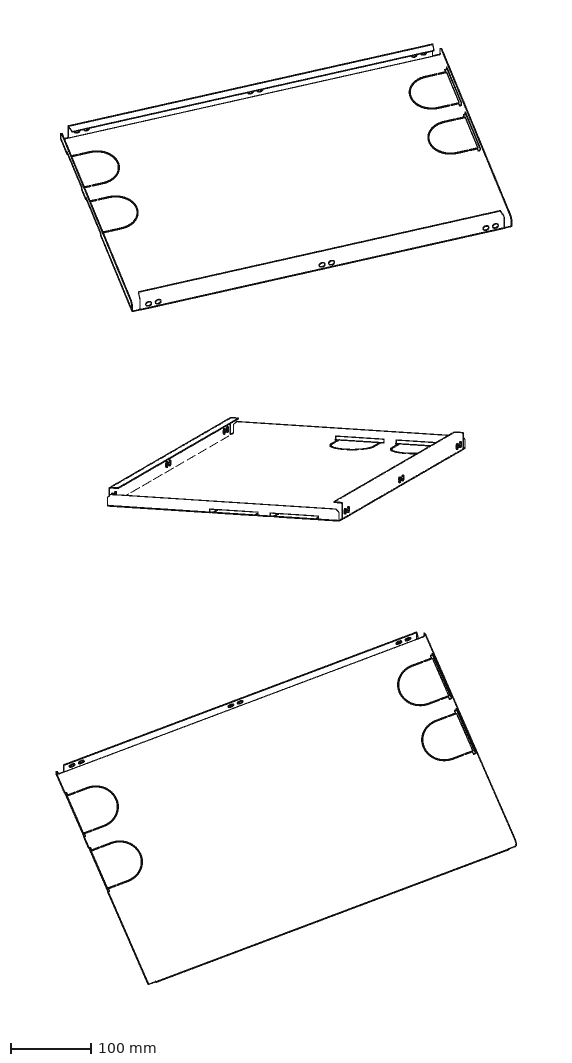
import cadquery as cq

length = 494.0
width = 306.5
height = 22.0
sheet = 1.0
inner_bend = 1.0
outer_bend = inner_bend + sheet

side_setback = 10.5
lip_width = 12.0
lip_taper = 1.5

flange_height = 15.5
end_inset = 1.5
flange_corner = 4.0

hole_diameter = 7.5
hole_height = 9.0
hole_pitch = 12.5
outer_hole_y = 225.5
hole_ys = (
    -outer_hole_y,
    hole_pitch - outer_hole_y,
    0,
    hole_pitch,
    outer_hole_y - hole_pitch,
    outer_hole_y,
)

knockout_xs = (-93.5, -14.0)
slit = 1.0
flap_width = 54.0
flap_depth = 56.5
tab_width = 2.0
tab_distance = 14.0
window_width = 63.0
window_height = 5.0
window_depth = 3.0
flap_end_gap = 2.0

wall_length = length - 2 * side_setback
inner_width = width - 2 * sheet
end_width = width - 2 * end_inset
end_y = -length / 2


def block(x_size, y_size, z_size, x=0, y=0, z=0):
    """Box centred on x and y, with its bottom at z."""
    box = cq.Workplane("XY").box(x_size, y_size, z_size, centered=(True, True, False))
    return box.translate((x, y, z))


def side_channel():
    """Floor with both side walls and their inward lips, all folded along Y."""
    outside = block(width, wall_length, height).edges("|Y").fillet(outer_bend)
    inside = block(inner_width, wall_length, height - 2 * sheet, z=sheet).edges("|Y").fillet(inner_bend)
    opening = block(width - 2 * lip_width, wall_length, height, z=sheet)
    return outside.cut(inside).cut(opening)


def lip_end_trim(side, end):
    """Wedge that tapers one end of a lip; side and end are -1 or 1."""
    root_x = side * (width / 2 - outer_bend)
    tip_x = side * (width / 2 - lip_width)
    root_y = end * wall_length / 2
    return (
        cq.Workplane("XY")
        .workplane(offset=height - sheet)
        .polyline([(root_x, root_y), (tip_x, root_y), (tip_x, root_y - end * lip_taper)])
        .close()
        .extrude(sheet)
    )


def end_channel():
    """Floor with both end flanges, folded along X and bevelled at the top corners."""
    outside = block(end_width, length, flange_height)
    outside = outside.edges("|X and <Z").fillet(outer_bend).edges("|Y and >Z").chamfer(flange_corner)
    inside = block(end_width, length - 2 * sheet, flange_height, z=sheet)
    return outside.cut(inside.edges("|X and <Z").fillet(inner_bend))


def tongue(tongue_width, depth, x):
    """Round-nosed slab as thick as the floor, reaching in from the -Y end."""
    radius = tongue_width / 2
    nose_y = end_y + depth - radius
    return (
        cq.Workplane("XY")
        .moveTo(x - radius, end_y)
        .lineTo(x - radius, nose_y)
        .threePointArc((x, nose_y + radius), (x + radius, nose_y))
        .lineTo(x + radius, end_y)
        .close()
        .extrude(sheet)
    )


def knockout_cut(x):
    """Slit around one flap, bridged by two tabs, and the window in the -Y flange bend."""
    slit_width = flap_width + 2 * slit
    flap = tongue(flap_width, flap_depth, x)
    slot = tongue(slit_width, flap_depth + slit, x).cut(flap)
    tabs = block(slit_width, tab_width, sheet, x, end_y + tab_distance)
    window = block(window_width, window_depth, window_height, x, end_y + window_depth / 2)
    flap_end = flap.cut(block(slit_width, flap_end_gap, sheet, x, end_y + flap_end_gap / 2))
    return slot.cut(tabs).union(window.cut(flap_end))


result = side_channel().union(end_channel())

for side in (-1, 1):
    for end in (-1, 1):
        result = result.cut(lip_end_trim(side, end))

for y in hole_ys:
    drill = cq.Workplane("YZ").center(y, hole_height).circle(hole_diameter / 2).extrude(width, both=True)
    result = result.cut(drill)

for x in knockout_xs:
    cut = knockout_cut(x)
    result = result.cut(cut).cut(cut.mirror("XZ"))